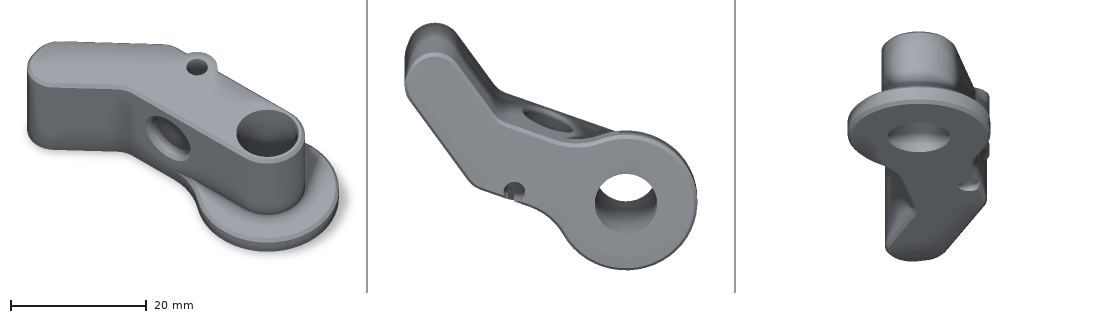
import cadquery as cq
import math

length = 47.55
height = 15.0
edge_chamfer = 0.48

bar_radius = 5.5
bend_x = -22.0
bend_angle = math.radians(35)
corner_radius = 4.0
bore_diameter = 9.2

flange_radius = 10.5
flange_height = 3.0
neck_radius = 9.3

pin_x = -16.05
pin_y = 4.0
pin_diameter = 3.2
knuckle_radius = 3.0
lower_knuckle = (5.3, 6.95)
upper_knuckle = (11.2, height)

pocket_x = -14.13
pocket_z = 9.0
pocket_diameter = 7.4
pocket_depth = 2.0
pocket_chamfer = 0.48


def make_body():
    end_x = flange_radius - length
    arm_drop = (bend_x - end_x) * math.tan(bend_angle)
    body = (
        cq.Workplane("XY")
        .moveTo(0, bar_radius)
        .lineTo(bend_x, bar_radius)
        .lineTo(end_x, bar_radius - arm_drop)
        .lineTo(end_x, -bar_radius - arm_drop)
        .lineTo(bend_x, -bar_radius)
        .lineTo(0, -bar_radius)
        .threePointArc((bar_radius, 0), (0, bar_radius))
        .close()
        .extrude(height)
    )
    arm_region = cq.selectors.BoxSelector((-length, -length, 0), (pin_x, length, height))
    body = body.edges("|Z").edges(arm_region).fillet(corner_radius)
    return body.faces("<Z or >Z").edges().chamfer(edge_chamfer)


def make_flange():
    center_distance = flange_radius + neck_radius
    neck_y = bar_radius + neck_radius
    neck_x = -math.sqrt(center_distance**2 - neck_y**2)
    join_x = neck_x * flange_radius / center_distance
    join_y = neck_y * flange_radius / center_distance
    mid_angle = (math.atan2(join_y - neck_y, join_x - neck_x) - math.pi / 2) / 2
    mid_x = neck_x + neck_radius * math.cos(mid_angle)
    mid_y = neck_y + neck_radius * math.sin(mid_angle)
    return (
        cq.Workplane("XY")
        .moveTo(neck_x, bar_radius)
        .threePointArc((mid_x, mid_y), (join_x, join_y))
        .threePointArc((flange_radius, 0), (join_x, -join_y))
        .threePointArc((mid_x, -mid_y), (neck_x, -bar_radius))
        .close()
        .extrude(flange_height)
        .faces("<Z or >Z")
        .edges("%CIRCLE")
        .chamfer(edge_chamfer)
    )


def make_knuckle(bottom, top):
    return (
        cq.Workplane("XY", origin=(pin_x, pin_y, bottom))
        .circle(knuckle_radius)
        .extrude(top - bottom)
    )


def make_vertical_hole(x, y, diameter):
    return cq.Workplane("XY").center(x, y).circle(diameter / 2).extrude(height)


def make_pocket():
    pocket_radius = pocket_diameter / 2
    pocket = (
        cq.Workplane("XZ", origin=(pocket_x, pocket_depth - bar_radius, pocket_z))
        .circle(pocket_radius)
        .extrude(pocket_depth)
    )
    mouth = (
        cq.Workplane("XZ", origin=(pocket_x, -bar_radius, pocket_z))
        .circle(pocket_radius + pocket_chamfer)
        .extrude(-pocket_chamfer, taper=45)
    )
    return pocket.union(mouth)


result = make_body().union(make_flange())
for bottom, top in (lower_knuckle, upper_knuckle):
    result = result.union(make_knuckle(bottom, top))
result = result.cut(make_vertical_hole(0, 0, bore_diameter))
result = result.cut(make_vertical_hole(pin_x, pin_y, pin_diameter))
result = result.cut(make_pocket())